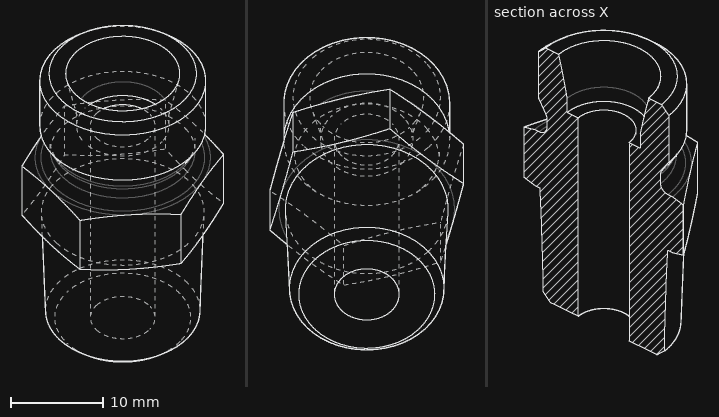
import cadquery as cq
import math

total_height = 35.0
hex_bottom = 15.15
hex_top = 22.95
thread_end = 27.5

across_flats = 19.0
hex_chamfer_angle = math.radians(15)

upper_radius = 18.0 / 2
neck_radius = 15.7 / 2
end_chamfer = 1.0
groove_fillet = 1.0
groove_cone_angle = math.radians(30)

lower_end_radius = 16.75 / 2
taper_per_height = 1 / 32

through_radius = 7.0 / 2
tube_radius = 10.0 / 2
mouth_radius = 12.35 / 2
mouth_cone_angle = math.radians(12)
tube_depth = 7.5


def tapered_radius(height):
    """Radius of the lower thread cone at the given height."""
    return lower_end_radius + (height - end_chamfer) * taper_per_height


def make_lower_end():
    """Tapered spigot, chamfered at its free end."""
    return (
        cq.Workplane("XZ")
        .lineTo(lower_end_radius - end_chamfer, 0)
        .lineTo(lower_end_radius, end_chamfer)
        .lineTo(tapered_radius(hex_bottom), hex_bottom)
        .lineTo(0, hex_bottom)
        .close()
        .revolve(360, (0, 0), (0, 1))
    )


def make_hexagon():
    """Hexagon with flats facing +X and -X and conically chamfered corners."""
    flat_radius = across_flats / 2
    corner_radius = flat_radius / math.cos(math.radians(30))
    corner_drop = (corner_radius - flat_radius) * math.tan(hex_chamfer_angle)
    prism = (
        cq.Workplane("XY")
        .workplane(offset=hex_bottom)
        .polygon(6, 2 * corner_radius)
        .extrude(hex_top - hex_bottom)
        .rotate((0, 0, 0), (0, 0, 1), 30)
    )
    chamfer_envelope = (
        cq.Workplane("XZ")
        .moveTo(0, hex_bottom)
        .lineTo(flat_radius, hex_bottom)
        .lineTo(corner_radius, hex_bottom + corner_drop)
        .lineTo(corner_radius, hex_top - corner_drop)
        .lineTo(flat_radius, hex_top)
        .lineTo(0, hex_top)
        .close()
        .revolve(360, (0, 0), (0, 1))
    )
    return prism.intersect(chamfer_envelope)


def make_upper_end():
    """Straight threaded end above a filleted relief groove."""
    cone_end_radius = neck_radius + groove_fillet * (1 - math.cos(groove_cone_angle))
    cone_end = thread_end - (upper_radius - cone_end_radius) / math.tan(groove_cone_angle)
    neck_top = cone_end - groove_fillet * math.sin(groove_cone_angle)
    return (
        cq.Workplane("XZ")
        .moveTo(0, hex_top)
        .lineTo(neck_radius + groove_fillet, hex_top)
        .radiusArc((neck_radius, hex_top + groove_fillet), groove_fillet)
        .lineTo(neck_radius, neck_top)
        .tangentArcPoint((cone_end_radius, cone_end), relative=False)
        .lineTo(upper_radius, thread_end)
        .lineTo(upper_radius, total_height - end_chamfer)
        .lineTo(upper_radius - end_chamfer, total_height)
        .lineTo(0, total_height)
        .close()
        .revolve(360, (0, 0), (0, 1))
    )


def make_bore():
    """Through hole, wider tube seat and conical mouth as one cutting body."""
    mouth_depth = (mouth_radius - tube_radius) / math.tan(mouth_cone_angle)
    seat_height = total_height - tube_depth
    return (
        cq.Workplane("XZ")
        .lineTo(through_radius, 0)
        .lineTo(through_radius, seat_height)
        .lineTo(tube_radius, seat_height)
        .lineTo(tube_radius, total_height - mouth_depth)
        .lineTo(mouth_radius, total_height)
        .lineTo(0, total_height)
        .close()
        .revolve(360, (0, 0), (0, 1))
    )


body = make_lower_end().union(make_hexagon()).union(make_upper_end())
result = body.cut(make_bore())